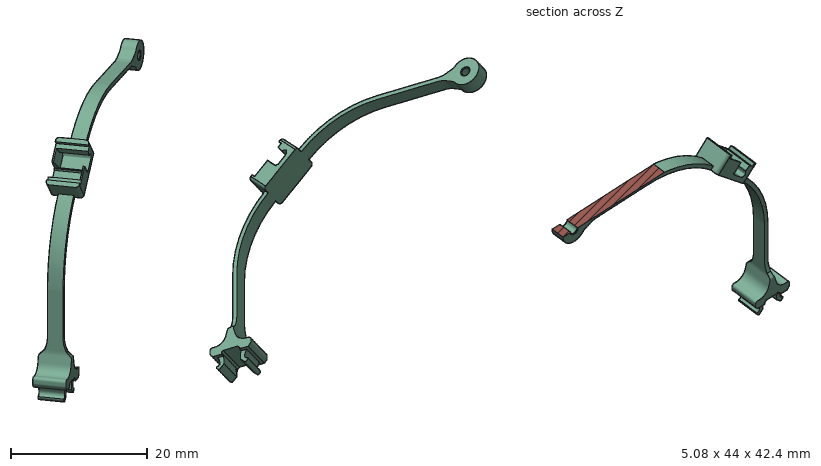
import cadquery as cq
import math


full_width = 5.08
strap_width = 2.4
strap_thickness = 0.7
clip_reach = 38.3
bend_start = 14.68

ring_radius = 2.25
hole_radius = 0.64
hole_chamfer = 0.13
neck_start = 1.9
neck_blend_start = 3.6
neck_blend_half_height = 0.47
neck_end = 4.4
neck_root_fillet = 0.8

saddle_length = 7.8
saddle_base_thickness = 0.82
lip_height = 2.92
flange_height = 3.5
flange_thickness = 0.77
lip_inner_top = 2.36
lip_inner_bottom = 2.2
lip_bottom_height = 1.94
undercut_depth = 2.75
undercut_height = 1.35
undercut_tip_fillet = 0.2
undercut_root_fillet = 0.15
ridge_height = 0.2
ridge_base_half = 0.25
ridge_top_half = 0.06
corner_length = 0.43
corner_width = 0.57
wall_top_thickness = 0.25
wall_base_thickness = 0.8
wall_gap = 0.18

clip_top = -30.6
widening_top = -31.0
widening_mid = -33.1
widening_mid_half_width = 1.75
widening_bottom = -33.7
widening_bottom_half_width = 2.4
full_width_top = -34.1
flare_top = -33.1
flare_blend_end = -33.75
flare_blend_half = 0.44
flare_bend = -35.0
flare_bend_half = 0.77
shoulder_top = -36.4
shoulder_start_half = 2.4
shoulder_radius = 0.45
clip_half = 3.4
shoulder_side_bottom = -37.3
shoulder_slope_top = -37.6
shoulder_slope_half = 3.28
shoulder_bottom = -38.0
shoulder_bottom_half = 2.95
pocket_roof = -37.42
pocket_half = 1.5
pocket_corner = 0.3
clip_bottom = -40.12

prong_width = 3.95
prong_root_half = 2.4
prong_overlap = 0.3
prong_waist_half = 2.1
prong_waist_height = -38.75
prong_inner_half = 1.35
prong_inner_top = -38.6
prong_inner_bottom = -39.4
foot_corner_radius = 0.2
foot_corner_step = 0.12
foot_half = 2.3

diagonal = math.sqrt(0.5)
bend_angle = math.radians(45)
bend_run = clip_reach - bend_start
bend_tangent = (bend_run - saddle_length * diagonal) / (1 + 2 * diagonal)
bend_radius = bend_tangent / math.tan(bend_angle / 2)

side_plane = cq.Plane(origin=(0, 0, 0), xDir=(0, -1, 0), normal=(-1, 0, 0))

saddle_centre_reach = (bend_start + bend_tangent + clip_reach) / 2
saddle_centre_height = saddle_centre_reach - clip_reach
base_drop = strap_thickness / 2 * diagonal
saddle_origin = (0, base_drop - saddle_centre_reach, saddle_centre_height - base_drop)
saddle_side = cq.Plane(origin=saddle_origin, xDir=(0, -1, -1), normal=(-1, 0, 0))
saddle_section = cq.Plane(origin=saddle_origin, xDir=(1, 0, 0), normal=(0, -1, -1))
saddle_plan = cq.Plane(origin=saddle_origin, xDir=(0, -1, -1), normal=(0, -1, 1))


def make_strap():
    arc_rise = bend_radius * (1 - math.cos(bend_angle))
    arc_run = bend_radius * math.sin(bend_angle)
    path = (
        cq.Workplane(side_plane)
        .moveTo(ring_radius, 0)
        .lineTo(bend_start, 0)
        .tangentArcPoint((bend_start + arc_run, -arc_rise), relative=False)
        .lineTo(clip_reach - arc_rise, arc_run - bend_run)
        .tangentArcPoint((clip_reach, -bend_run), relative=False)
        .lineTo(clip_reach, clip_top)
    )
    section_plane = cq.Plane(origin=(0, -ring_radius, 0), xDir=(1, 0, 0), normal=(0, -1, 0))
    return cq.Workplane(section_plane).rect(strap_width, strap_thickness).sweep(path)


def make_ring():
    half = strap_thickness / 2
    neck_start_half = math.sqrt(ring_radius**2 - neck_start**2)
    ring = cq.Workplane(side_plane).circle(ring_radius).extrude(strap_width / 2, both=True)
    neck = (
        cq.Workplane(side_plane)
        .moveTo(0, neck_start_half)
        .lineTo(neck_start, neck_start_half)
        .lineTo(neck_blend_start, neck_blend_half_height)
        .lineTo(neck_end, half)
        .lineTo(neck_end, -half)
        .lineTo(neck_blend_start, -neck_blend_half_height)
        .lineTo(neck_start, -neck_start_half)
        .lineTo(0, -neck_start_half)
        .close()
        .extrude(strap_width / 2, both=True)
    )
    root_edges = cq.selectors.BoxSelector(
        (-strap_width, -neck_start - half, -ring_radius),
        (strap_width, -neck_start + half, ring_radius),
    )
    body = ring.union(neck).edges("|X").edges(root_edges).fillet(neck_root_fillet)
    hole = cq.Workplane(side_plane).circle(hole_radius).extrude(strap_width, both=True)
    hole_rims = cq.selectors.RadiusNthSelector(0)
    return body.cut(hole).faces("<X or >X").edges("%CIRCLE").edges(hole_rims).chamfer(hole_chamfer)


def saddle_edges_near(along, outward):
    """Selector for the crosswise saddle edge at the given place in the saddle's side profile."""
    spot = saddle_side.toWorldCoords((along, outward, 0))
    return cq.selectors.NearestToPointSelector(spot.toTuple())


def make_saddle_hook(side):
    """Half of the saddle's hooked profile; side is -1 or +1 along the strap."""
    end = side * saddle_length / 2
    hook = (
        cq.Workplane(saddle_side)
        .lineTo(end, 0)
        .lineTo(end, flange_height)
        .lineTo(end - side * flange_thickness, flange_height)
        .lineTo(end - side * flange_thickness, lip_height)
        .lineTo(side * lip_inner_top, lip_height)
        .lineTo(side * lip_inner_bottom, lip_bottom_height)
        .lineTo(side * undercut_depth, undercut_height)
        .lineTo(side * lip_inner_bottom, saddle_base_thickness)
        .lineTo(0, saddle_base_thickness)
        .close()
        .extrude(full_width / 2, both=True)
    )
    tip = saddle_edges_near(side * undercut_depth, undercut_height)
    root = saddle_edges_near(side * lip_inner_bottom, saddle_base_thickness)
    return hook.edges(tip).fillet(undercut_tip_fillet).edges(root).fillet(undercut_root_fillet)


def make_saddle_ridge():
    """Low ridge across the middle of the saddle floor."""
    ridge_top = saddle_base_thickness + ridge_height
    return (
        cq.Workplane(saddle_side)
        .moveTo(-ridge_base_half, 0)
        .lineTo(ridge_base_half, 0)
        .lineTo(ridge_base_half, saddle_base_thickness)
        .lineTo(ridge_top_half, ridge_top)
        .lineTo(-ridge_top_half, ridge_top)
        .lineTo(-ridge_base_half, saddle_base_thickness)
        .close()
        .extrude(full_width / 2, both=True)
    )


def make_saddle_wall(side):
    """Sloping side wall: at +X on the lower half, at -X on the upper half."""
    outer = side * full_width / 2
    wall_end = saddle_length / 2 - flange_thickness
    return (
        cq.Workplane(saddle_section)
        .workplane(offset=side * wall_gap / 2)
        .moveTo(outer, 0)
        .lineTo(outer, lip_height)
        .lineTo(outer - side * wall_top_thickness, lip_height)
        .lineTo(outer - side * wall_base_thickness, saddle_base_thickness)
        .lineTo(outer - side * wall_base_thickness, 0)
        .close()
        .extrude(side * (wall_end - wall_gap / 2))
    )


def make_saddle_outline():
    """Block with the saddle's plan outline, its four corners rounded."""
    end = saddle_length / 2
    edge = full_width / 2
    arc_radius = (corner_length**2 + corner_width**2) / (2 * corner_length)
    return (
        cq.Workplane(saddle_plan)
        .moveTo(corner_length - end, -edge)
        .lineTo(end - corner_length, -edge)
        .radiusArc((end, corner_width - edge), -arc_radius)
        .lineTo(end, edge - corner_width)
        .radiusArc((end - corner_length, edge), -arc_radius)
        .lineTo(corner_length - end, edge)
        .radiusArc((-end, edge - corner_width), -arc_radius)
        .lineTo(-end, corner_width - edge)
        .radiusArc((corner_length - end, -edge), -arc_radius)
        .close()
        .extrude(flange_height)
    )


def make_saddle():
    saddle = make_saddle_hook(-1).union(make_saddle_hook(1)).union(make_saddle_ridge())
    for side in (-1, 1):
        saddle = saddle.union(make_saddle_wall(side))
    return saddle.intersect(make_saddle_outline())


def clip_point(side, half, height):
    """Point of the clip's side profile, at a half width to one side of the strap."""
    return (clip_reach + side * half, height)


def make_clip_half(side):
    """One side of the clip's body, from the strap down to the shoulder."""

    def at(half, height):
        return clip_point(side, half, height)

    shoulder_arc_inset = shoulder_radius * (1 - diagonal)
    return (
        cq.Workplane(side_plane)
        .moveTo(*at(0, clip_top))
        .lineTo(*at(strap_thickness / 2, clip_top))
        .lineTo(*at(strap_thickness / 2, flare_top))
        .tangentArcPoint(at(flare_blend_half, flare_blend_end), relative=False)
        .lineTo(*at(flare_bend_half, flare_bend))
        .tangentArcPoint(at(shoulder_start_half, shoulder_top), relative=False)
        .lineTo(*at(clip_half - shoulder_radius, shoulder_top))
        .threePointArc(
            at(clip_half - shoulder_arc_inset, shoulder_top - shoulder_arc_inset),
            at(clip_half, shoulder_top - shoulder_radius),
        )
        .lineTo(*at(clip_half, shoulder_side_bottom))
        .tangentArcPoint(at(shoulder_slope_half, shoulder_slope_top), relative=False)
        .lineTo(*at(shoulder_bottom_half, shoulder_bottom))
        .lineTo(*at(pocket_half, shoulder_bottom))
        .lineTo(*at(pocket_half, pocket_roof - pocket_corner))
        .lineTo(*at(pocket_half - pocket_corner, pocket_roof))
        .lineTo(*at(0, pocket_roof))
        .close()
        .extrude(full_width / 2, both=True)
    )


def make_clip_outline():
    """Block that narrows from the clip's full width to the strap's width."""
    half_block = (
        cq.Workplane("XZ", origin=(0, -clip_reach, 0))
        .moveTo(0, clip_top)
        .lineTo(strap_width / 2, clip_top)
        .lineTo(strap_width / 2, widening_top)
        .tangentArcPoint((widening_mid_half_width, widening_mid), relative=False)
        .lineTo(widening_bottom_half_width, widening_bottom)
        .tangentArcPoint((full_width / 2, full_width_top), relative=False)
        .lineTo(full_width / 2, clip_bottom)
        .lineTo(0, clip_bottom)
        .close()
        .extrude(2 * clip_half, both=True)
    )
    return half_block.union(half_block.mirror("YZ"))


def make_prong(side):
    """Spring prong with a rounded, outward-turned foot."""

    def at(half, height):
        return clip_point(side, half, height)

    root_top = shoulder_bottom + prong_overlap
    foot_tilt = foot_corner_radius * diagonal
    outer_half = foot_half + foot_corner_step
    inner_half = foot_half - foot_corner_step
    inner_height = clip_bottom + foot_corner_radius
    outer_height = inner_height + 2 * foot_corner_step
    return (
        cq.Workplane(side_plane)
        .moveTo(*at(pocket_half, root_top))
        .lineTo(*at(prong_root_half, root_top))
        .lineTo(*at(prong_root_half, shoulder_bottom))
        .lineTo(*at(prong_waist_half, prong_waist_height))
        .tangentArcPoint(at(outer_half + foot_tilt, outer_height + foot_tilt), relative=False)
        .threePointArc(
            at(outer_half + foot_corner_radius, outer_height),
            at(outer_half + foot_tilt, outer_height - foot_tilt),
        )
        .lineTo(*at(inner_half + foot_tilt, inner_height - foot_tilt))
        .threePointArc(
            at(inner_half, clip_bottom),
            at(inner_half - foot_tilt, inner_height - foot_tilt),
        )
        .lineTo(*at(prong_inner_half, prong_inner_bottom))
        .lineTo(*at(prong_inner_half, prong_inner_top))
        .lineTo(*at(pocket_half, shoulder_bottom))
        .close()
        .extrude(prong_width / 2, both=True)
    )


def make_clip():
    clip = make_clip_half(-1).union(make_clip_half(1)).intersect(make_clip_outline())
    for side in (-1, 1):
        clip = clip.union(make_prong(side))
    return clip


result = make_strap().union(make_ring()).union(make_saddle()).union(make_clip())